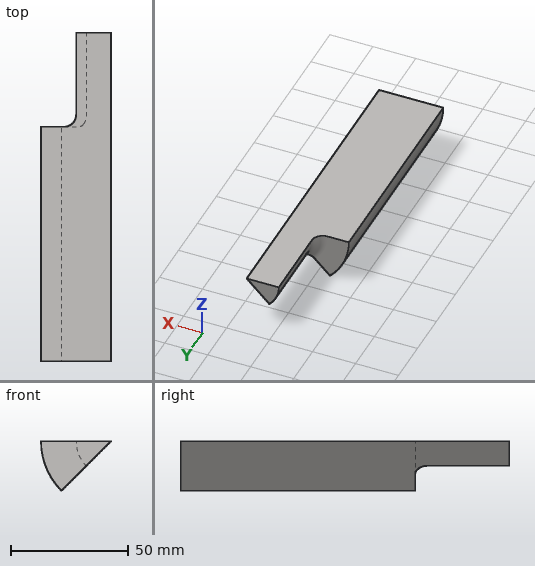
import cadquery as cq

total_length = 140.0
body_length = 100.0
body_radius = 30.0
neck_radius = body_radius / 2
fillet_radius = 5.0
sector_angle = 45.0

profile = (
    cq.Workplane("XY")
    .lineTo(-body_radius, 0)
    .lineTo(-body_radius, body_length)
    .lineTo(-neck_radius - fillet_radius, body_length)
    .radiusArc((-neck_radius, body_length + fillet_radius), -fillet_radius)
    .lineTo(-neck_radius, total_length)
    .lineTo(0, total_length)
    .close()
)

result = profile.revolve(sector_angle, (0, 0, 0), (0, -1, 0))